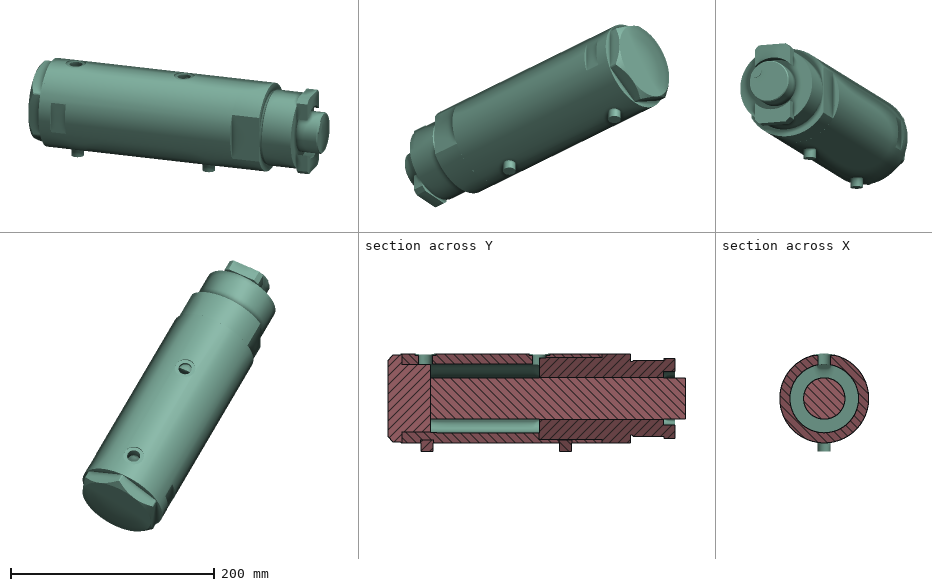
import cadquery as cq
import math

FLANGE_START = 12.7
TUBE_START = 14.5
PLUG_END = 42.0
HEAD_START = 149.2
TUBE_END = 211.0
GROOVE_START = 239.0
GROOVE_END = 240.7
LAND_END = 271.5
LUG_END = 282.8
SHAFT_END = 293.5
TOTAL_LENGTH = 294.3

BODY_RADIUS = 88.0 / 2
HEAD_BORE_RADIUS = 40.0
PLUG_BORE_RADIUS = 33.5
LAND_RADIUS = 37.7
GROOVE_RADIUS = 36.5
SHAFT_RADIUS = 20.5

ACROSS_FLATS = 75.0
HEX_CORNER_RADIUS = 43.0
HEX_FACE_RADIUS = ACROSS_FLATS / 2
HEX_CHAMFER_LENGTH = 5.0

SLOT_START = 24.7
SLOT_LENGTH = 15.3
SLOT_HEIGHT = 32.5
SLOT_FLOOR = 41.2

PORT_STATIONS = (37.0, HEAD_START)
PORT_RADIUS = 6.5
SPOTFACE_RADIUS = 10.0
SPOTFACE_FLOOR = 42.7

PIN_STATIONS = (38.8, 174.8)
PIN_RADIUS = 6.2
PIN_INNER_END = 41.2
PIN_PROJECTION = 8.5
PIN_OUTER_END = BODY_RADIUS + PIN_PROJECTION

LAND_CHAMFER = LAND_RADIUS - GROOVE_RADIUS
SHAFT_CHAMFER = 1.0

LUG_WIDTH = 36.8
LUG_TOP = 39.5
LUG_CHAMFER_WIDTH = 4.5
LUG_CHAMFER_HEIGHT = 4.0
LUG_INNER_CORNER = 18.5
LUG_BORE_RADIUS = math.hypot(LUG_WIDTH / 2, LUG_INNER_CORNER)

BOSS_Y = -13.5
BOSS_Z = 10.5
BOSS_RADIUS = 6.0


def rod(start, end, radius):
    """Cylinder about the X axis."""
    return cq.Workplane("YZ", origin=(start, 0, 0)).circle(radius).extrude(end - start)


def box(start, end, width, height):
    """Box centred on the X axis."""
    return cq.Workplane("YZ", origin=(start, 0, 0)).rect(width, height).extrude(end - start)


def post(x, bottom, top, radius):
    """Vertical cylinder whose centre line crosses the X axis."""
    return cq.Workplane("XY", origin=(x, 0, bottom)).circle(radius).extrude(top - bottom)


def make_plug():
    """Hexagon-headed end plug with a thin flange and a spigot."""
    hexagon = (
        cq.Workplane("YZ")
        .polygon(6, ACROSS_FLATS, circumscribed=True)
        .extrude(FLANGE_START)
    )
    rounded_blank = (
        cq.Workplane("XY")
        .lineTo(0, HEX_FACE_RADIUS)
        .lineTo(HEX_CHAMFER_LENGTH, HEX_CORNER_RADIUS)
        .lineTo(FLANGE_START, HEX_CORNER_RADIUS)
        .lineTo(FLANGE_START, 0)
        .close()
        .revolve(360, (0, 0, 0), (1, 0, 0))
    )
    flange = rod(FLANGE_START, TUBE_START, BODY_RADIUS)
    spigot = rod(TUBE_START, PLUG_END, PLUG_BORE_RADIUS)
    return hexagon.intersect(rounded_blank).union(flange).union(spigot)


def make_tube():
    """Bored tube with side slots, top ports and blind pin holes."""
    tube = rod(TUBE_START, TUBE_END, BODY_RADIUS)
    tube = tube.cut(rod(TUBE_START, HEAD_START, PLUG_BORE_RADIUS))
    tube = tube.cut(rod(HEAD_START, TUBE_END, HEAD_BORE_RADIUS))

    slot_end = SLOT_START + SLOT_LENGTH
    slot_span = box(SLOT_START, slot_end, 2 * BODY_RADIUS, SLOT_HEIGHT)
    slot_core = box(SLOT_START, slot_end, 2 * SLOT_FLOOR, SLOT_HEIGHT)
    tube = tube.cut(slot_span.cut(slot_core))

    for x in PORT_STATIONS:
        tube = tube.cut(post(x, 0, BODY_RADIUS, PORT_RADIUS))
        tube = tube.cut(post(x, SPOTFACE_FLOOR, BODY_RADIUS, SPOTFACE_RADIUS))
    for x in PIN_STATIONS:
        tube = tube.cut(make_pin(x))
    return tube


def make_lugs():
    """Two opposed lugs with bevelled outer corners, hollowed around the shaft."""
    half_width = LUG_WIDTH / 2
    half_top = half_width - LUG_CHAMFER_WIDTH
    bevel_start = LUG_TOP - LUG_CHAMFER_HEIGHT
    bar = (
        cq.Workplane("YZ", origin=(LAND_END, 0, 0))
        .polyline([
            (half_width, -bevel_start),
            (half_width, bevel_start),
            (half_top, LUG_TOP),
            (-half_top, LUG_TOP),
            (-half_width, bevel_start),
            (-half_width, -bevel_start),
            (-half_top, -LUG_TOP),
            (half_top, -LUG_TOP),
        ])
        .close()
        .extrude(LUG_END - LAND_END)
    )
    return bar.cut(rod(LAND_END, LUG_END, LUG_BORE_RADIUS))


def make_head():
    """End head with a spigot, two wrench flats, a grooved land and lugs."""
    spigot = rod(HEAD_START, TUBE_END, HEAD_BORE_RADIUS)
    collar = rod(TUBE_END, GROOVE_START, BODY_RADIUS)
    collar = collar.intersect(box(TUBE_END, GROOVE_START, ACROSS_FLATS, 2 * BODY_RADIUS))
    groove = rod(GROOVE_START, GROOVE_END, GROOVE_RADIUS)
    land = rod(GROOVE_END, LAND_END, LAND_RADIUS).faces("<X").chamfer(LAND_CHAMFER)
    head = spigot.union(collar).union(groove).union(land).union(make_lugs())
    return head.cut(rod(HEAD_START, LAND_END, SHAFT_RADIUS))


def make_shaft():
    """Shaft from the plug through the head, with a boss on its outer end."""
    shaft = rod(PLUG_END, SHAFT_END, SHAFT_RADIUS).faces(">X").chamfer(SHAFT_CHAMFER)
    boss = (
        cq.Workplane("YZ", origin=(SHAFT_END, 0, 0))
        .center(BOSS_Y, BOSS_Z)
        .circle(BOSS_RADIUS)
        .extrude(TOTAL_LENGTH - SHAFT_END)
    )
    boss = boss.intersect(rod(SHAFT_END, TOTAL_LENGTH, SHAFT_RADIUS - SHAFT_CHAMFER))
    return shaft.union(boss)


def make_pin(x):
    """Round pin pointing down from the tube."""
    return post(x, -PIN_OUTER_END, -PIN_INNER_END, PIN_RADIUS)


plug = make_plug()
tube = make_tube()
head = make_head()
shaft = make_shaft()
pins = [make_pin(x).val() for x in PIN_STATIONS]

result = cq.Compound.makeCompound([plug.val(), tube.val(), head.val(), shaft.val(), *pins])